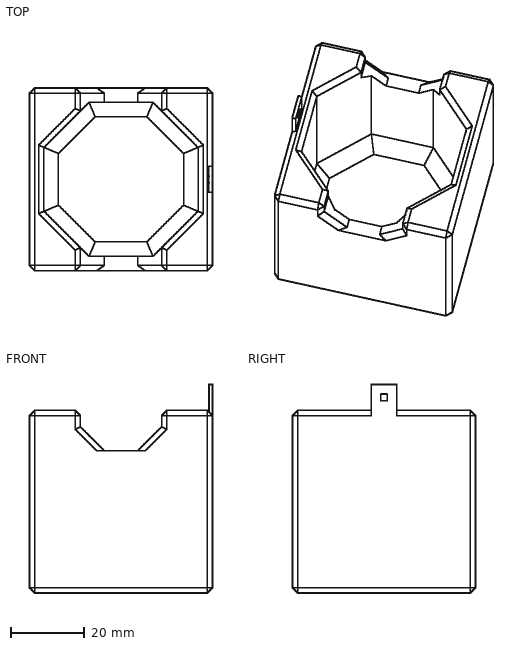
import cadquery as cq
import math

cube_size = 50.0
edge_chamfer = 1.5

pocket_width = 42.05
pocket_floor_width = 34.15
floor_thickness = 4.0
floor_chamfer = (pocket_width - pocket_floor_width) / 2

notch_width = 22.1
notch_depth = notch_width / 2

total_height = 57.0
tab_width = 7.0
tab_thickness = 1.0
tab_hole = 1.75

half_cube = cube_size / 2
top_clearance = 0.55


def octagon_points(width):
    """Corners of a regular octagon with flats square to the axes."""
    radius = width / 2 / math.cos(math.pi / 8)
    angles = [math.pi / 8 + i * math.pi / 4 for i in range(8)]
    return [(radius * math.cos(a), radius * math.sin(a)) for a in angles]


def octagon_taper(plane, start_width, end_width, length):
    """Octagonal solid whose width changes evenly along its length."""
    return (
        plane.polyline(octagon_points(start_width)).close()
        .workplane(offset=length)
        .polyline(octagon_points(end_width)).close()
        .loft(ruled=True, combine=True)
    )


def make_body():
    cube = cq.Workplane("XY").box(cube_size, cube_size, cube_size, centered=(True, True, False))
    return cube.edges().chamfer(edge_chamfer)


def make_pocket():
    floor_plane = cq.Workplane("XY").workplane(offset=floor_thickness)
    floor = octagon_taper(floor_plane, pocket_floor_width, pocket_width, floor_chamfer)

    wall_start = floor_thickness + floor_chamfer
    wall_plane = cq.Workplane("XY").workplane(offset=wall_start)
    walls = wall_plane.polyline(octagon_points(pocket_width)).close().extrude(cube_size - wall_start)

    rim_plane = cq.Workplane("XY").workplane(offset=cube_size - edge_chamfer)
    rim = octagon_taper(rim_plane, pocket_width, pocket_width + 2 * edge_chamfer, edge_chamfer)
    return floor.union(walls).union(rim)


def make_notches():
    side_plane = cq.Workplane("XZ", origin=(0, half_cube, cube_size))
    notches = side_plane.polyline(octagon_points(notch_width)).close().extrude(cube_size)

    flared_width = notch_width + 2 * edge_chamfer
    back = octagon_taper(side_plane, flared_width, notch_width, edge_chamfer)
    notches = notches.union(back).union(back.mirror("XZ"))

    top_bevel = (
        cq.Workplane("XZ", origin=(0, half_cube, cube_size))
        .moveTo(-notch_width / 2, -edge_chamfer)
        .lineTo(notch_width / 2, -edge_chamfer)
        .lineTo(flared_width / 2, 0)
        .lineTo(-flared_width / 2, 0)
        .close()
        .extrude(cube_size)
    )

    limit = cq.Workplane("XY", origin=(0, 0, cube_size - notch_depth)).box(
        cube_size, cube_size, notch_depth + top_clearance, centered=(True, True, False)
    )
    return notches.union(top_bevel).intersect(limit)


def make_corner_cut():
    """Tetrahedron that trims the corner where three chamfers meet, at +X, -Y."""
    leg = 2 * edge_chamfer
    corner = cq.Vector(notch_width / 2, -half_cube, cube_size)
    along_x = corner + cq.Vector(leg, 0, 0)
    along_y = corner + cq.Vector(0, leg, 0)
    along_z = corner + cq.Vector(0, 0, -leg)
    triangles = [
        (corner, along_x, along_y),
        (corner, along_y, along_z),
        (corner, along_z, along_x),
        (along_x, along_y, along_z),
    ]
    faces = [cq.Face.makeFromWires(cq.Wire.makePolygon(points, close=True)) for points in triangles]
    return cq.Workplane(cq.Solid.makeSolid(cq.Shell.makeShell(faces)))


def make_corner_cuts():
    one = make_corner_cut()
    pair = one.union(one.mirror("YZ"))
    return pair.union(pair.mirror("XZ"))


def make_tab():
    base = cube_size - edge_chamfer
    tab = cq.Workplane("XY", origin=(half_cube - tab_thickness / 2, 0, base)).box(
        tab_thickness, tab_width, total_height - base, centered=(True, True, False)
    )
    hole_height = (cube_size + total_height) / 2
    hole = cq.Workplane("XY", origin=(half_cube, 0, hole_height)).box(
        4 * tab_thickness, tab_hole, tab_hole
    )
    return tab.cut(hole)


result = (
    make_body()
    .cut(make_pocket())
    .cut(make_notches())
    .cut(make_corner_cuts())
    .union(make_tab())
)